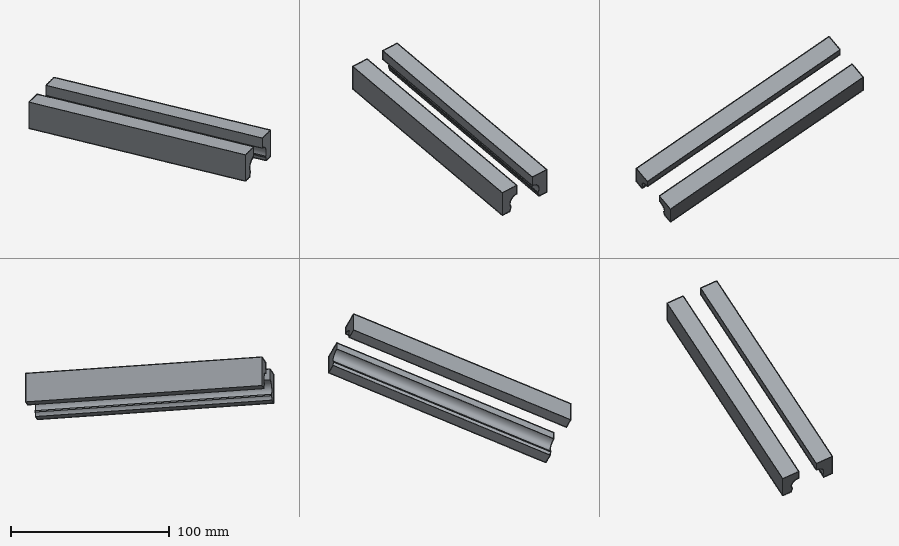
import cadquery as cq
import math

length = 152.4
overall_width = 35.7
height = 19.0
rail_width = 11.6

groove_radius = 5.3
groove_center_z = 6.4

land_depth = 4.5

outer_y = overall_width / 2
inner_y = outer_y - rail_width
land_y = inner_y + land_depth
groove_bottom_y = inner_y + groove_radius

land_rise = math.sqrt(groove_radius**2 - land_depth**2)


def lower_groove_midpoint():
    """Point halfway along the lower groove's wall."""
    angle = math.atan2(land_rise, land_depth) / 2
    return inner_y + groove_radius * math.cos(angle), groove_radius * math.sin(angle)


def make_rail():
    """Rail on the +Y side, with its grooves facing the gap."""
    return (
        cq.Workplane("YZ", origin=(-length / 2, 0, 0))
        .moveTo(outer_y, 0)
        .lineTo(outer_y, height)
        .lineTo(inner_y, height)
        .lineTo(inner_y, groove_center_z + groove_radius)
        .threePointArc((groove_bottom_y, groove_center_z), (land_y, groove_center_z - land_rise))
        .lineTo(land_y, land_rise)
        .threePointArc(lower_groove_midpoint(), (groove_bottom_y, 0))
        .close()
        .extrude(length)
    )


rails = []
for angle in (0, 180):
    rail = make_rail().rotate((0, 0, 0), (0, 0, 1), angle)
    rails.append(rail.val())

result = cq.Compound.makeCompound(rails)